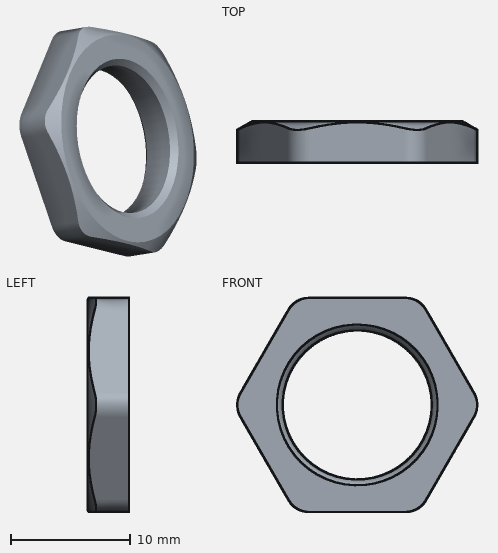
import cadquery as cq
import math

across_flats = 18.0
thickness = 3.5
corner_radius = 2.0
bore_diameter = 12.5
bore_chamfer = 0.5
crown_face_diameter = 17.6
crown_angle = 30.0

hexagon_corner_diameter = across_flats / math.cos(math.radians(30))


def hexagonal_body():
    """Hexagonal plate with rounded corners, front face on Y = 0, flats facing +Z and -Z."""
    return (
        cq.Workplane("XZ")
        .polygon(6, hexagon_corner_diameter)
        .extrude(-thickness)
        .edges("|Y")
        .fillet(corner_radius)
    )


def crown_envelope():
    """Solid of revolution about Y whose conical shoulder cuts the corners on the +Y side."""
    face_radius = crown_face_diameter / 2
    outer_radius = hexagon_corner_diameter / 2
    crown_depth = (outer_radius - face_radius) * math.tan(math.radians(crown_angle))
    return (
        cq.Workplane("XY")
        .moveTo(0, 0)
        .lineTo(outer_radius, 0)
        .lineTo(outer_radius, thickness - crown_depth)
        .lineTo(face_radius, thickness)
        .lineTo(0, thickness)
        .close()
        .revolve(360, (0, 0, 0), (0, 1, 0))
    )


def chamfered_bore():
    """Through bore about Y with a 45 degree chamfer at both ends."""
    bore_radius = bore_diameter / 2
    mouth_radius = bore_radius + bore_chamfer
    return (
        cq.Workplane("XY")
        .moveTo(0, 0)
        .lineTo(mouth_radius, 0)
        .lineTo(bore_radius, bore_chamfer)
        .lineTo(bore_radius, thickness - bore_chamfer)
        .lineTo(mouth_radius, thickness)
        .lineTo(0, thickness)
        .close()
        .revolve(360, (0, 0, 0), (0, 1, 0))
    )


result = hexagonal_body().intersect(crown_envelope()).cut(chamfered_bore())